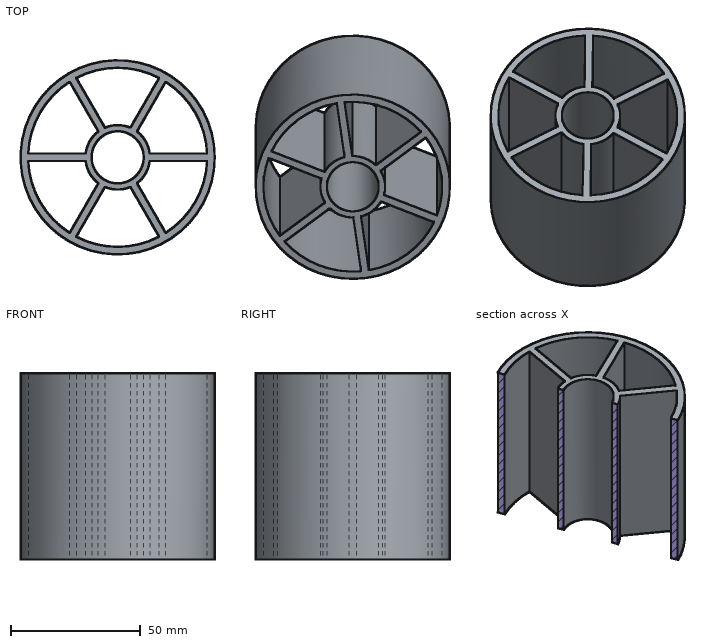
import cadquery as cq

outer_diameter = 75.0
height = 72.0
rim_wall = 3.0
bore_diameter = 20.0
hub_wall = 2.5
spoke_thickness = 3.0
spoke_count = 6

rim_inner_diameter = outer_diameter - 2 * rim_wall
hub_diameter = bore_diameter + 2 * hub_wall


def tube(outer, inner):
    """Full-height tube standing on the XY plane."""
    return cq.Workplane("XY").circle(outer / 2).circle(inner / 2).extrude(height)


def spoke(angle):
    """Radial web running from mid hub wall to mid rim wall."""
    start = (bore_diameter + hub_wall) / 2
    end = (outer_diameter - rim_wall) / 2
    web = (
        cq.Workplane("XY")
        .center((start + end) / 2, 0)
        .rect(end - start, spoke_thickness)
        .extrude(height)
    )
    return web.rotate((0, 0, 0), (0, 0, 1), angle)


rim = tube(outer_diameter, rim_inner_diameter)
hub = tube(hub_diameter, bore_diameter)

result = rim.union(hub)
for index in range(spoke_count):
    result = result.union(spoke(index * 360 / spoke_count))